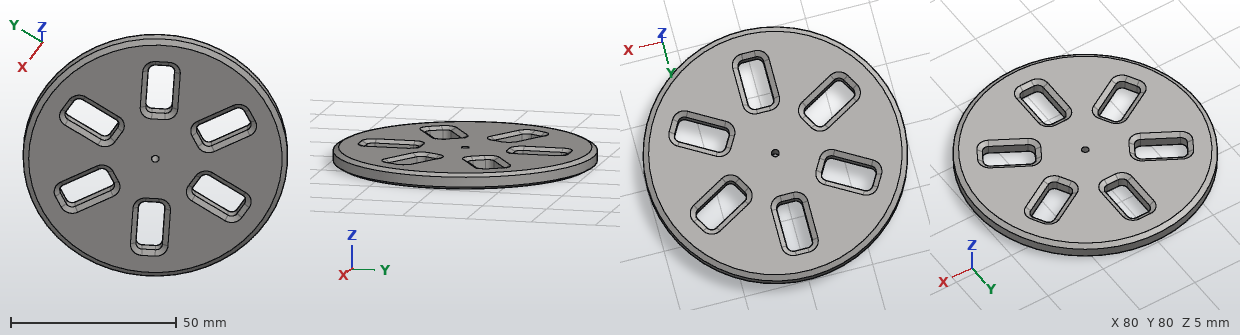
import cadquery as cq

disc_diameter = 80
disc_thickness = 5.0
bore_diameter = 2.2

bevel_width = 1.7
bevel_depth = 1.0

window_count = 6
window_length = 16
window_width = 8
window_corner_radius = 2.0
window_center_radius = 23.0


def make_disc():
    """Disc resting on Z = 0 with a shallow bevel around both faces."""
    disc = cq.Workplane("XY").circle(disc_diameter / 2).extrude(disc_thickness)
    disc = disc.faces(">Z").chamfer(bevel_depth, bevel_width)
    return disc.faces("<Z").chamfer(bevel_depth, bevel_width)


def window_outline(height, offset):
    """Rounded rectangle on the X axis, grown outwards by offset on every side."""
    outline = cq.Sketch().rect(window_length + 2 * offset, window_width + 2 * offset)
    outline = outline.vertices().fillet(window_corner_radius + offset)
    return outline.moved(cq.Location(cq.Vector(window_center_radius, 0, height)))


def make_window_cutter():
    """Straight opening that flares out to both faces of the disc."""
    throat = window_outline(0, 0)
    cutter = cq.Workplane("XY").placeSketch(throat).extrude(disc_thickness)
    flares = (
        (0, bevel_depth),
        (disc_thickness, disc_thickness - bevel_depth),
    )
    for face_height, throat_height in flares:
        mouth = window_outline(face_height, bevel_width)
        neck = window_outline(throat_height, 0)
        cutter = cutter.union(cq.Workplane("XY").placeSketch(mouth, neck).loft())
    return cutter


result = make_disc()
result = result.cut(cq.Workplane("XY").circle(bore_diameter / 2).extrude(disc_thickness))

window_cutter = make_window_cutter()
for index in range(window_count):
    angle = (index + 0.5) * 360 / window_count
    result = result.cut(window_cutter.rotate((0, 0, 0), (0, 0, 1), angle))